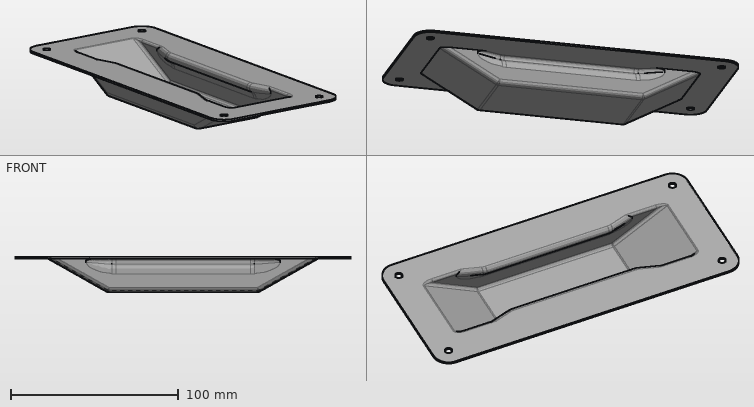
import cadquery as cq
import math

plate_length = 200.0
plate_width = 90.0
thickness = 1.2
plate_corner_radius = 10.0
hole_inset = 10.0
hole_diameter = 4.5
hole_x = plate_length / 2 - hole_inset
hole_y = plate_width / 2 - hole_inset

pan_depth = 21.2
pan_width = 48.0
pan_floor_length = 90.0
end_slope_angle = 29.4
pan_edge_radius = 3.0
pan_mouth_radius = 1.5

lip_center_y = 20.5
lip_radius = 2.8
lip_wall_radius = 6.5
lip_bend_x = 41.5
lip_end_angle = 17.5
lip_bend_radius = 8.0
lip_outer_y = 27.0
lip_tip_blend_angle = 4.0
lip_end_steps = 5

wall_y = pan_width / 2
wall_arc_center_y = wall_y - lip_wall_radius
lip_sheet_radius = lip_radius - thickness
arc_center_distance = lip_wall_radius + lip_sheet_radius
bend_angle = math.radians(lip_end_angle)
bend_start_x = lip_bend_x - lip_bend_radius * math.tan(bend_angle / 2)
bend_end_x = bend_start_x + lip_bend_radius * math.sin(bend_angle)


def trapezoid_block(half_floor, half_top, depth, width, edge_radius):
    """Block under Z = 0 with sloping ends and rounded edges below its top face."""
    block = (
        cq.Workplane("XZ")
        .polyline([(-half_top, 0), (-half_floor, -depth), (half_floor, -depth), (half_top, 0)])
        .close()
        .extrude(width / 2, both=True)
    )
    return block.faces("not >Z").edges("not >Z").fillet(edge_radius)


def make_plate():
    """Flat plate with rounded corners and a screw hole near each corner."""
    plate = (
        cq.Workplane("XY")
        .rect(plate_length, plate_width)
        .extrude(-thickness)
        .edges("|Z")
        .fillet(plate_corner_radius)
    )
    holes = (
        cq.Workplane("XY")
        .rect(2 * hole_x, 2 * hole_y, forConstruction=True)
        .vertices()
        .circle(hole_diameter / 2)
        .extrude(-thickness)
    )
    return plate.cut(holes)


def make_pan_skin():
    """Outer and inner bodies of the pan; the inner one is offset by the sheet thickness."""
    slope = math.radians(end_slope_angle)
    outer_half_floor = pan_floor_length / 2
    outer_half_top = outer_half_floor + pan_depth / math.tan(slope)
    inner_depth = pan_depth - thickness
    inner_half_floor = outer_half_floor - thickness * math.tan(slope / 2)
    inner_half_top = inner_half_floor + inner_depth / math.tan(slope)
    outer = trapezoid_block(outer_half_floor, outer_half_top, pan_depth, pan_width, pan_edge_radius)
    inner = trapezoid_block(
        inner_half_floor,
        inner_half_top,
        inner_depth,
        pan_width - 2 * thickness,
        pan_edge_radius - thickness,
    )
    return outer, inner


def lip_plan_y(x):
    """Distance of the roll axis from the XZ plane: constant, then an arc, then a slanted line."""
    if x <= bend_start_x:
        return lip_center_y
    if x <= bend_end_x:
        return lip_center_y + lip_bend_radius - math.sqrt(lip_bend_radius**2 - (x - bend_start_x) ** 2)
    return lip_center_y + (x - lip_bend_x) * math.tan(bend_angle)


def lip_plan_x(y):
    """Position along the slanted line where the roll axis reaches the given distance."""
    return lip_bend_x + (y - lip_center_y) / math.tan(bend_angle)


def blend_angle(x):
    """Turn of the roll at which it runs over into the arc that lands on the pan wall."""
    return math.acos((lip_plan_y(x) - wall_arc_center_y) / arc_center_distance)


def lip_section(x, offset):
    """S-shaped lip section at X, set back from its pocket side by the offset."""
    roll_radius = lip_radius - offset
    wall_radius = arc_center_distance - roll_radius
    roll_y = lip_plan_y(x)
    blend = blend_angle(x)
    wall_arc_center_z = -lip_radius - arc_center_distance * math.sin(blend)

    def on_roll(turn):
        return (roll_y - roll_radius * math.cos(turn), -lip_radius - roll_radius * math.sin(turn))

    def on_wall_arc(turn):
        return (
            wall_arc_center_y + wall_radius * math.cos(turn),
            wall_arc_center_z + wall_radius * math.sin(turn),
        )

    return (
        cq.Workplane("YZ", origin=(x, 0, 0))
        .moveTo(lip_outer_y, -offset)
        .lineTo(roll_y, -offset)
        .threePointArc(on_roll((blend - math.pi / 2) / 2), on_roll(blend))
        .threePointArc(on_wall_arc(blend / 2), on_wall_arc(0))
        .lineTo(lip_outer_y, wall_arc_center_z)
        .close()
        .val()
    )


def lip_body(offset):
    """Lip body along the +Y wall: straight middle, two bends and two ends fading into the wall."""
    middle_stations = [-bend_start_x, bend_start_x]
    bend_stations = [bend_start_x, (bend_start_x + bend_end_x) / 2, bend_end_x]
    first_blend = blend_angle(bend_end_x)
    last_blend = math.radians(lip_tip_blend_angle)
    end_stations = [bend_end_x]
    for step in range(1, lip_end_steps + 1):
        blend = first_blend + (last_blend - first_blend) * step / lip_end_steps
        end_stations.append(lip_plan_x(wall_arc_center_y + arc_center_distance * math.cos(blend)))

    def loft(stations):
        return cq.Workplane(cq.Solid.makeLoft([lip_section(x, offset) for x in stations]))

    body = loft(middle_stations)
    for stations in (bend_stations, end_stations):
        piece = loft(stations)
        body = body.union(piece).union(piece.mirror("YZ"))
    return body


def make_pan():
    """Plate with the pan and its rounded mouth, plus the same body before it is hollowed."""
    pan_outer, pan_inner = make_pan_skin()
    solid_pan = make_plate().union(pan_outer)
    mouth_edges = cq.selectors.BoxSelector(
        (-hole_x, -hole_y, -thickness / 2),
        (hole_x, hole_y, thickness / 2),
        boundingbox=True,
    )
    return solid_pan.cut(pan_inner).edges(mouth_edges).fillet(pan_mouth_radius), solid_pan


pan, solid_pan = make_pan()
lip_fill = lip_body(0).intersect(solid_pan)
lip_hollow = lip_body(thickness)
result = (
    pan.union(lip_fill)
    .union(lip_fill.mirror("XZ"))
    .cut(lip_hollow)
    .cut(lip_hollow.mirror("XZ"))
)